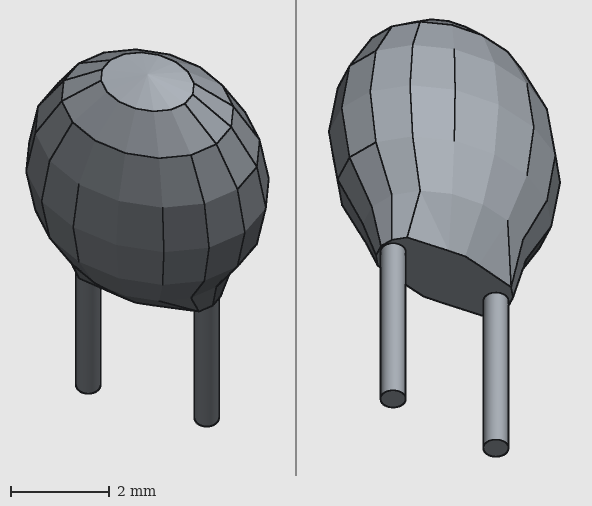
import cadquery as cq
import math


BODY_WIDTH = 5.08
BODY_DEPTH = 3.81
TOTAL_HEIGHT = 10.67
LEAD_LENGTH = 4.07
SEGMENTS = 16
STEP_ANGLE = 2 * math.pi / SEGMENTS
FOOT_SPREAD = 0.6
SPREAD_START = 0.53

BODY_HALF_HEIGHT = (TOTAL_HEIGHT - LEAD_LENGTH) / 2
BODY_CENTER_Z = LEAD_LENGTH + BODY_HALF_HEIGHT

LEAD_DIAMETER = 0.51
LEAD_SPACING = 2.54


def ellipse_ring(latitude, z):
    """Corners of one ring, with the ellipsoid's width and depth at this latitude."""
    half_width = BODY_WIDTH / 2 * math.cos(latitude)
    half_depth = BODY_DEPTH / 2 * math.cos(latitude)
    angles = [i * STEP_ANGLE for i in range(SEGMENTS)]
    return [cq.Vector(half_width * math.cos(a), half_depth * math.sin(a), z) for a in angles]


def foot_ring(latitude):
    """Lowest ring: lowered to the flat base and stretched along X over the leads."""
    corners = []
    for corner in ellipse_ring(latitude, LEAD_LENGTH):
        shift = math.copysign(FOOT_SPREAD, corner.x) if abs(corner.x) > SPREAD_START else 0
        corners.append(corner + cq.Vector(shift, 0, 0))
    return corners


def flat_face(corners):
    return cq.Face.makeFromWires(cq.Wire.makePolygon(corners, close=True))


def make_body():
    steps_to_pole = SEGMENTS // 4
    latitudes = [STEP_ANGLE * k for k in range(steps_to_pole - 1, -steps_to_pole, -1)]
    rings = [
        ellipse_ring(latitude, BODY_CENTER_Z + BODY_HALF_HEIGHT * math.sin(latitude))
        for latitude in latitudes[:-1]
    ]
    rings.append(foot_ring(latitudes[-1]))

    top_point = cq.Vector(0, 0, TOTAL_HEIGHT)
    faces = [flat_face(rings[-1])]
    for i in range(SEGMENTS):
        following = (i + 1) % SEGMENTS
        faces.append(flat_face([top_point, rings[0][i], rings[0][following]]))
        for upper, lower in zip(rings, rings[1:]):
            faces.append(flat_face([upper[i], lower[i], lower[following]]))
            faces.append(flat_face([upper[i], lower[following], upper[following]]))
    return cq.Solid.makeSolid(cq.Shell.makeShell(faces))


def make_lead(x):
    """Round lead that ends flush against the flat base of the body."""
    return cq.Workplane("XY").center(x, 0).circle(LEAD_DIAMETER / 2).extrude(LEAD_LENGTH)


body = make_body()
leads = [make_lead(side * LEAD_SPACING / 2) for side in (-1, 1)]

result = cq.Compound.makeCompound([body, *[lead.val() for lead in leads]])